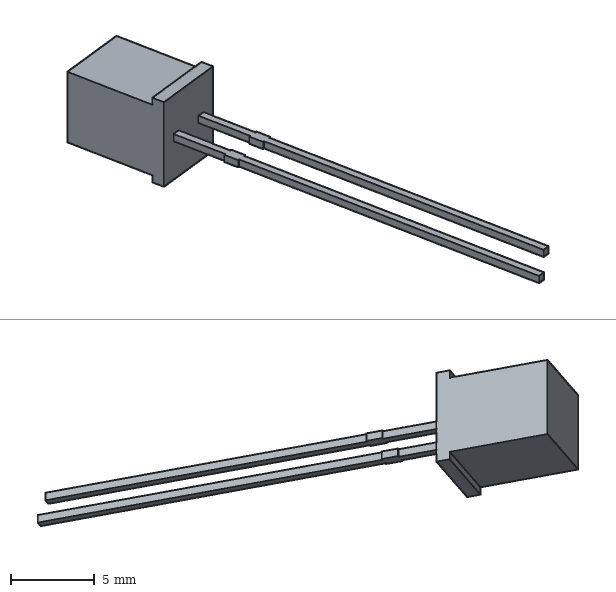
import cadquery as cq

overall_length = 34.2

body_length = 7.15
body_width = 5.0
body_height = 5.0
flange_thickness = 0.85
flange_height = 6.0

lead_size = 0.5
lead_pitch = 2.53
lead_length_difference = 1.5
long_lead_length = overall_length - body_length
short_lead_length = long_lead_length - lead_length_difference

shoulder_offset = 3.83
shoulder_length = 1.03
shoulder_width = 0.72


def block(start_x, length, width, height, center_y=0):
    """Box from start_x along +X, centred on center_y and on Z = 0."""
    box = cq.Workplane("XY").box(length, width, height, centered=(False, True, True))
    return box.translate((start_x, center_y, 0))


def make_body():
    lens = block(0, body_length, body_width, body_height)
    flange_start = body_length - flange_thickness
    return lens.union(block(flange_start, flange_thickness, body_width, flange_height))


def make_lead(length, center_y):
    """Lead that starts on the back of the body, with its shoulder."""
    wire = block(body_length, length, lead_size, lead_size, center_y)
    shoulder_start = body_length + shoulder_offset
    return wire.union(block(shoulder_start, shoulder_length, shoulder_width, lead_size, center_y))


long_lead = make_lead(long_lead_length, -lead_pitch / 2)
short_lead = make_lead(short_lead_length, lead_pitch / 2)
result = make_body().union(long_lead).union(short_lead)